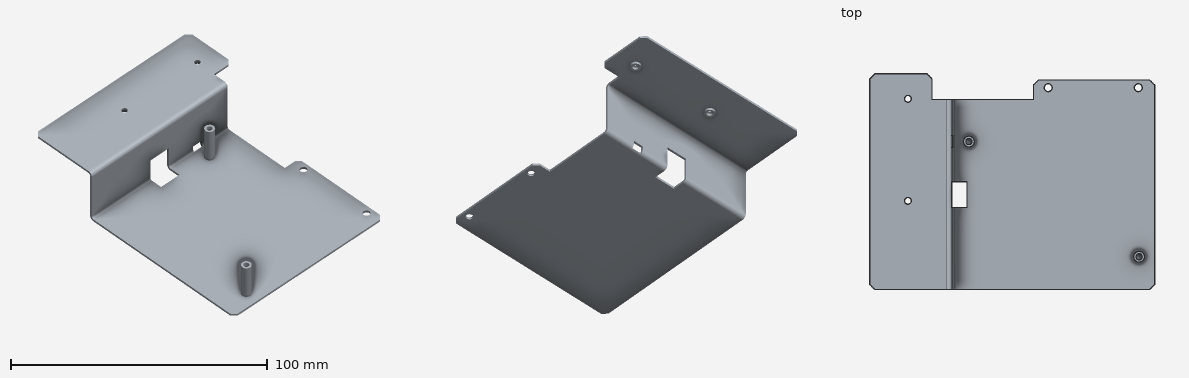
import cadquery as cq
import math

sheet = 1.0
inner_bend = 1.0
outer_bend = inner_bend + sheet
width = 111.0
height = 24.8
corner_chamfer = 2.0
selection_margin = 1.1

wall_right = 32.0
wall_left = wall_right - sheet
flange_depth = 84.0
base_depth = 81.6
wall_depth = 74.0
recess_left = 24.3
recess_right = 63.7

flange_hole_diameter = 2.5
collar_diameter = 4.4
collar_height = 1.0
flange_hole_x = 14.9
flange_hole_ys = (34.5, 74.3)

base_hole_diameter = 3.0
base_hole_xs = (69.5, 104.6)
base_hole_y = 78.6

window_y = 37.0
window_width = 10.0
window_top = 11.1
window_right = 37.9

notch_y = 57.6
notch_width = 4.8
notch_top = 3.5
notch_end_angle = 30.0

standoff_diameter = 4.2
standoff_length = 15.0
bore_diameter = 2.4
bore_depth = 11.1
drill_tip_angle = 118.0
standoff_places = ((38.6, notch_y), (104.9, 12.8))


def make_sheet():
    """Z-shaped sheet with rounded bends, extruded along Y."""
    inner_mid = inner_bend * math.sqrt(0.5)
    outer_mid = outer_bend * math.sqrt(0.5)
    top_x = wall_right - outer_bend
    top_z = height - outer_bend
    low_x = wall_left + outer_bend
    low_z = outer_bend
    return (
        cq.Workplane("XZ")
        .moveTo(0, height)
        .lineTo(top_x, height)
        .threePointArc((top_x + outer_mid, top_z + outer_mid), (wall_right, top_z))
        .lineTo(wall_right, low_z)
        .threePointArc((low_x - inner_mid, low_z - inner_mid), (low_x, sheet))
        .lineTo(width, sheet)
        .lineTo(width, 0)
        .lineTo(low_x, 0)
        .threePointArc((low_x - outer_mid, low_z - outer_mid), (wall_left, low_z))
        .lineTo(wall_left, top_z)
        .threePointArc((top_x + inner_mid, top_z + inner_mid), (top_x, height - sheet))
        .lineTo(0, height - sheet)
        .close()
        .extrude(-flange_depth)
    )


def make_outline():
    """Prism that trims the sheet to its outline, with chamfered outer corners."""
    prism = (
        cq.Workplane("XY")
        .polyline([
            (0, 0),
            (width, 0),
            (width, base_depth),
            (recess_right, base_depth),
            (recess_right, wall_depth),
            (recess_left, wall_depth),
            (recess_left, flange_depth),
            (0, flange_depth),
        ])
        .close()
        .extrude(height)
    )
    recess_corners = cq.selectors.BoxSelector(
        (recess_left - selection_margin, wall_depth - selection_margin, 0),
        (recess_right + selection_margin, wall_depth + selection_margin, height),
    )
    vertical_edges = cq.selectors.ParallelDirSelector(cq.Vector(0, 0, 1))
    outer_corners = cq.selectors.SubtractSelector(vertical_edges, recess_corners)
    return prism.edges(outer_corners).chamfer(corner_chamfer)


def make_window():
    """Block that opens the wall, the lower bend and the edge of the base."""
    return (
        cq.Workplane("XY")
        .box(window_right - wall_left, window_width, window_top, centered=(False, True, False))
        .translate((wall_left, window_y, 0))
    )


def make_notch():
    """Cutter bounded below by a plane through the axis of the lower bend."""
    axis_x = wall_left + outer_bend
    axis_z = outer_bend
    reach_x = axis_z * math.tan(math.radians(notch_end_angle))
    return (
        cq.Workplane("XZ", origin=(0, notch_y, 0))
        .polyline([
            (axis_x, axis_z),
            (axis_x - reach_x, 0),
            (wall_left, 0),
            (wall_left, notch_top),
            (axis_x, notch_top),
        ])
        .close()
        .extrude(notch_width / 2, both=True)
    )


def make_bracket():
    """Bent sheet with its collars, holes, window and notch."""
    flange_points = [(flange_hole_x, y) for y in flange_hole_ys]
    base_points = [(x, base_hole_y) for x in base_hole_xs]
    collar_bottom = height - sheet - collar_height
    collars = (
        cq.Workplane("XY", origin=(0, 0, collar_bottom))
        .pushPoints(flange_points)
        .circle(collar_diameter / 2)
        .extrude(collar_height)
    )
    flange_holes = (
        cq.Workplane("XY", origin=(0, 0, collar_bottom))
        .pushPoints(flange_points)
        .circle(flange_hole_diameter / 2)
        .extrude(collar_height + sheet)
    )
    base_holes = (
        cq.Workplane("XY")
        .pushPoints(base_points)
        .circle(base_hole_diameter / 2)
        .extrude(sheet)
    )
    return (
        make_sheet()
        .intersect(make_outline())
        .union(collars)
        .cut(flange_holes)
        .cut(base_holes)
        .cut(make_window())
        .cut(make_notch())
    )


def make_standoff(x, y):
    """Round post on the base with a blind bore from the top that ends in a drill cone."""
    bore_radius = bore_diameter / 2
    tip_depth = bore_radius / math.tan(math.radians(drill_tip_angle / 2))
    bore_bottom = standoff_length - bore_depth
    return (
        cq.Workplane("XZ")
        .polyline([
            (0, 0),
            (standoff_diameter / 2, 0),
            (standoff_diameter / 2, standoff_length),
            (bore_radius, standoff_length),
            (bore_radius, bore_bottom),
            (0, bore_bottom - tip_depth),
        ])
        .close()
        .revolve(360, (0, 0, 0), (0, 1, 0))
        .translate((x, y, sheet))
    )


bracket = make_bracket()
standoffs = [make_standoff(x, y) for x, y in standoff_places]

result = cq.Compound.makeCompound([bracket.val(), *[standoff.val() for standoff in standoffs]])